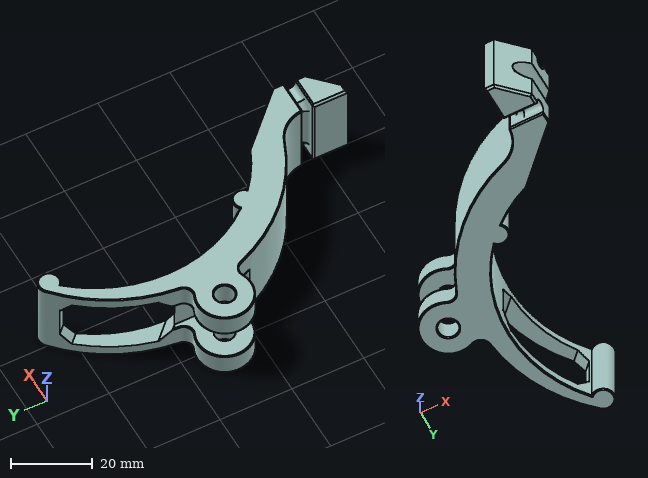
import cadquery as cq
import math

width = 22.0
right_x = 50.2
bottom_y = -56.2
edge_chamfer = 0.3

pivot_radius = 7.5
pivot_hole_radius = 2.7
pivot_fillet = 2.5
lug_gap = 8.95
lug_gap_floor_x = 7.9

grip_x = 50.6
grip_y = 9.0
grip_radius = 38.3
arm_thickness = 8.95
back_radius = grip_radius + arm_thickness
tip_back_x = 50.9
tip_back_y = 4.9
ball_radius = 2.95
ball_angles = (135, 225)

shoulder_x = 36.2
heel_radius = 9.4
hook_left_x = 40.6
hook_bottom_length = 2.8
hook_chamfer = 0.6

groove_y = -45.0
groove_width = 2.95
groove_depth = 2.95
groove_flare = 0.4
neck_corner = 1.8

window_top_x, window_top_y = 18.6, 35.9
window_length = 26.1
window_width = 15.4
window_corner = 3.0

notch_radius = 3.5
cut_reach = 57.1


def polar(center_x, center_y, radius, degrees):
    angle = math.radians(degrees)
    return (center_x + radius * math.cos(angle), center_y + radius * math.sin(angle))


def direction(start, end):
    return math.degrees(math.atan2(end[1] - start[1], end[0] - start[0])) % 360


def arc_to(path, center, radius, start_degrees, end_degrees):
    """Extend the path by an arc between two directions seen from its center."""
    middle = polar(*center, radius, (start_degrees + end_degrees) / 2)
    return path.threePointArc(middle, polar(*center, radius, end_degrees))


def boss_fillet_center(arc_center, arc_radius, side):
    """Center of the fillet tangent to the pivot boss and to an outer arc, above (1) or below (-1)."""
    boss_reach = pivot_radius + pivot_fillet
    arc_reach = arc_radius + pivot_fillet
    span = math.hypot(*arc_center)
    cosine = (boss_reach**2 + span**2 - arc_reach**2) / (2 * boss_reach * span)
    angle = direction((0, 0), arc_center) + side * math.degrees(math.acos(cosine))
    return polar(0, 0, boss_reach, angle)


def disc(center, radius):
    return cq.Workplane("XY").center(*center).circle(radius).extrude(width / 2, both=True)


def make_arm():
    """Arm, balls and pivot boss down to the middle of the groove."""
    pivot = (0, 0)
    grip = (grip_x, grip_y)
    tip_back = (tip_back_x, tip_back_y)
    balls = [polar(*grip, grip_radius, angle) for angle in ball_angles]

    tip_back_radius = math.dist(tip_back, balls[0]) + ball_radius
    tip_angle = direction(tip_back, balls[0])
    upper = boss_fillet_center(tip_back, tip_back_radius, 1)
    lower = boss_fillet_center(grip, back_radius, -1)
    tip_end_angle = direction(tip_back, upper)
    back_start_angle = direction(grip, lower)
    upper_boss_angle = direction(pivot, upper)
    lower_boss_angle = direction(pivot, lower)

    heel_x = hook_left_x - heel_radius
    heel_reach = back_radius + heel_radius
    heel = (heel_x, grip_y - math.sqrt(heel_reach**2 - (grip_x - heel_x) ** 2))
    heel_angle = direction(grip, heel)

    shoulder_y = grip_y - math.sqrt(grip_radius**2 - (grip_x - shoulder_x) ** 2)
    shoulder_angle = direction(grip, (shoulder_x, shoulder_y))

    path = cq.Workplane("XY").moveTo(*balls[0])
    path = path.lineTo(*polar(*tip_back, tip_back_radius, tip_angle))
    path = arc_to(path, tip_back, tip_back_radius, tip_angle, tip_end_angle)
    path = arc_to(path, upper, pivot_fillet, tip_end_angle + 180, upper_boss_angle + 180)
    path = arc_to(path, pivot, pivot_radius, upper_boss_angle, lower_boss_angle)
    path = arc_to(path, lower, pivot_fillet, lower_boss_angle - 180, back_start_angle - 180)
    path = arc_to(path, grip, back_radius, back_start_angle, heel_angle)
    path = arc_to(path, heel, heel_radius, heel_angle - 180, 0)
    path = path.lineTo(hook_left_x, groove_y).lineTo(right_x, groove_y)
    path = path.lineTo(right_x, shoulder_y - (right_x - shoulder_x))
    path = path.lineTo(shoulder_x, shoulder_y)
    path = arc_to(path, grip, grip_radius, shoulder_angle, ball_angles[0])
    arm = path.close().extrude(width / 2, both=True)

    arm = arm.faces("<Z or >Z").chamfer(edge_chamfer)
    for ball in balls:
        arm = arm.union(disc(ball, ball_radius).faces("<Z or >Z").chamfer(edge_chamfer))
    return arm


def make_hook():
    """Hook block from the middle of the groove to the bottom, with a 45 degree nose."""
    nose_x = hook_left_x + hook_bottom_length
    outline = [
        (hook_left_x, groove_y),
        (hook_left_x, bottom_y),
        (nose_x, bottom_y),
        (right_x, bottom_y + right_x - nose_x),
        (right_x, groove_y),
    ]
    hook = cq.Workplane("XY").polyline(outline).close().extrude(width / 2, both=True)
    return hook.faces("<Z or >Z").chamfer(hook_chamfer)


def groove_cutter(floor_x, floor_z, inward_x, inward_z, depth):
    """Round-bottomed slot whose deepest line passes through the floor point."""
    radius = groove_width / 2
    mouth = depth - groove_flare
    inward = cq.Vector(inward_x, 0, inward_z)
    plane = cq.Plane(
        origin=(floor_x, groove_y, floor_z),
        xDir=(-inward).toTuple(),
        normal=inward.cross(cq.Vector(0, 1, 0)).toTuple(),
    )
    flare_end = mouth + 2 * groove_flare
    half_flare = radius + 2 * groove_flare
    return (
        cq.Workplane(plane)
        .moveTo(radius, -radius)
        .threePointArc((0, 0), (radius, radius))
        .lineTo(mouth, radius)
        .lineTo(flare_end, half_flare)
        .lineTo(flare_end, -half_flare)
        .lineTo(mouth, -radius)
        .close()
        .extrude(cut_reach, both=True)
    )


def cut_groove(body):
    """Groove along the left, top and bottom faces, with the neck corners cut at 45 degrees."""
    left = hook_left_x + groove_depth
    corner_depth = (2 * groove_depth + neck_corner) / math.sqrt(2)
    body = body.cut(groove_cutter(left, 0, 1, 0, groove_depth))
    for side in (1, -1):
        floor_z = side * (width / 2 - groove_depth)
        body = body.cut(groove_cutter(left, floor_z, 0, -side, groove_depth))
        body = body.cut(groove_cutter(left + neck_corner, floor_z, 1, -side, corner_depth))
    return body


def cut_lug_gap(body):
    """Gap between the two lugs, with chamfered rims."""
    gap_length = lug_gap_floor_x + cut_reach
    gap = cq.Workplane("XY").box(gap_length, cut_reach, lug_gap)
    body = body.cut(gap.translate((lug_gap_floor_x - gap_length / 2, 0, 0)))
    rims = cq.selectors.BoxSelector(
        (-cut_reach, -cut_reach, -0.6 * lug_gap), (lug_gap_floor_x - 0.1, cut_reach, 0.6 * lug_gap)
    )
    return body.edges(rims).chamfer(edge_chamfer)


def cut_pivot_hole(body):
    """Pivot hole through both lugs, chamfered at its outer mouths."""
    body = body.cut(disc((0, 0), pivot_hole_radius))
    rims = cq.selectors.BoxSelector((-0.95, -0.95, -width), (0.95, 0.95, width))
    return body.faces("<Z or >Z").edges(rims).chamfer(edge_chamfer)


def cut_window(body):
    plane = cq.Plane(origin=(window_top_x, window_top_y, 0), xDir=(-1, -1, 0), normal=(1, -1, 0))
    window = (
        cq.Workplane(plane)
        .center(window_length / 2, 0)
        .rect(window_length, window_width)
        .extrude(cut_reach / 2, both=True)
        .edges("|(1, -1, 0)")
        .chamfer(window_corner)
    )
    return body.cut(window)


def cut_notch(body):
    notch = cq.Workplane("XZ").center(right_x, 0).circle(notch_radius).extrude(2 * cut_reach, both=True)
    return body.cut(notch)


result = make_arm().union(make_hook())
result = cut_groove(result)
result = cut_lug_gap(result)
result = cut_pivot_hole(result)
result = cut_window(result)
result = cut_notch(result)